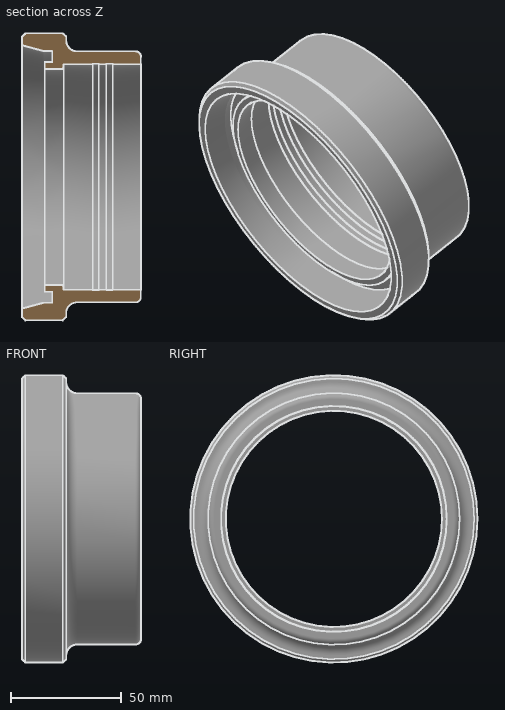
import cadquery as cq

total_length = 54.0
flange_radius = 130 / 2
flange_length = 20.2
flange_chamfer = 1.5
sleeve_radius = 113.8 / 2
neck_fillet = 4.8
end_fillet = 2.6

socket_mouth_radius = 119.1 / 2
socket_radius = 113.8 / 2
socket_taper_length = 9.9
socket_depth = 13.6

lip_outer_radius = 104 / 2
lip_start = 10.3

throat_radius = 97.6 / 2
bore_radius = 101.9 / 2
bore_start = 18.8
groove_radius = 102.3 / 2
groove_width = 2.9
first_groove_start = 32.0
groove_pitch = 6.2
groove_count = 2


def cylinder(radius, start, end):
    """Solid cylinder on the X axis between two X positions."""
    return cq.Workplane("YZ", origin=(start, 0, 0)).circle(radius).extrude(end - start)


def cone(start_radius, end_radius, start, end):
    """Solid truncated cone on the X axis between two X positions."""
    profile = [(start, 0), (start, start_radius), (end, end_radius), (end, 0)]
    return cq.Workplane("XY").polyline(profile).close().revolve(360, (0, 0, 0), (1, 0, 0))


def outer_body():
    """Chamfered flange and sleeve joined by a concave fillet."""
    flange = cylinder(flange_radius, 0, flange_length).edges().chamfer(flange_chamfer)
    sleeve = cylinder(sleeve_radius, flange_length, total_length)
    sleeve = sleeve.faces(">X").edges().fillet(end_fillet)
    collar_end = flange_length + neck_fillet
    neck = (
        cq.Workplane("XY")
        .moveTo(flange_length, 0)
        .lineTo(flange_length, sleeve_radius + neck_fillet)
        .radiusArc((collar_end, sleeve_radius), -neck_fillet)
        .lineTo(collar_end, 0)
        .close()
        .revolve(360, (0, 0, 0), (1, 0, 0))
    )
    return flange.union(sleeve).union(neck)


def socket():
    """Socket space: tapered mouth and straight end, leaving the lip standing."""
    mouth = cone(socket_mouth_radius, socket_radius, 0, socket_taper_length)
    straight = cylinder(socket_radius, socket_taper_length, socket_depth)
    lip = cylinder(lip_outer_radius, lip_start, socket_depth)
    return mouth.union(straight).cut(lip)


def bore():
    """Through bore with its narrow throat and internal grooves."""
    space = cylinder(throat_radius, lip_start, bore_start)
    space = space.union(cylinder(bore_radius, bore_start, total_length))
    for index in range(groove_count):
        start = first_groove_start + index * groove_pitch
        space = space.union(cylinder(groove_radius, start, start + groove_width))
    return space


result = outer_body().cut(socket()).cut(bore())